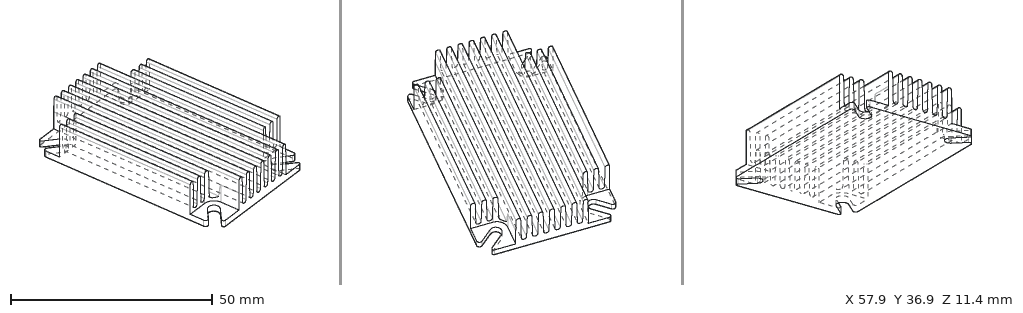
import cadquery as cq

length = 57.9
width = 36.85
height = 11.4

groove_count = 12
edge_to_first_groove = 2.1
groove_floor = 2.8
groove_bottom_width = 1.4
groove_top_width = 1.75
fin_tip_rise = 0.6

notch_length = 8.5
notch_width = 8.8
notch_radius = 2.9
foot_thickness = 1.85

slot_width = 3.2
slot_center_x = 5.25
slot_center_y = 5.45
slot_angle = 49.0
side_tip_radius = 0.5
long_tip_radius = 0.75

first_groove_y = edge_to_first_groove - width / 2
groove_pitch = (width - 2 * edge_to_first_groove) / (groove_count - 1)
groove_bottom_radius = groove_bottom_width / 2
outer_fin_thickness = edge_to_first_groove - groove_top_width / 2
shoulder_height = height - fin_tip_rise


def fin_profile():
    """Fin cross-section in the YZ plane: tapered fins with round tips and round groove floors."""
    groove_arc_z = groove_floor + groove_bottom_radius
    profile = cq.Workplane("YZ", origin=(-length / 2, 0, 0)).moveTo(-width / 2, 0)
    profile = profile.lineTo(-width / 2, shoulder_height)
    tip_y = (-width + outer_fin_thickness) / 2
    for index in range(groove_count):
        groove_y = first_groove_y + index * groove_pitch
        profile = (
            profile.threePointArc((tip_y, height), (groove_y - groove_top_width / 2, shoulder_height))
            .lineTo(groove_y - groove_bottom_radius, groove_arc_z)
            .threePointArc((groove_y, groove_floor), (groove_y + groove_bottom_radius, groove_arc_z))
            .lineTo(groove_y + groove_top_width / 2, shoulder_height)
        )
        tip_y = groove_y + groove_pitch / 2
    last_tip_y = (width - outer_fin_thickness) / 2
    profile = profile.threePointArc((last_tip_y, height), (width / 2, shoulder_height))
    return profile.lineTo(width / 2, 0).close()


def corner_block(size_x, size_y, bottom, top):
    """Block filling the -X, -Y corner of the part between two heights."""
    return (
        cq.Workplane("XY", origin=(-length / 2, -width / 2, bottom))
        .rect(size_x, size_y, centered=False)
        .extrude(top - bottom)
    )


def notch():
    """Space above the foot, with the inner vertical corner rounded."""
    block = corner_block(notch_length, notch_width, foot_thickness, height)
    return block.edges("|Z and >X and >Y").fillet(notch_radius)


def foot():
    """Mounting foot with a diagonal open slot and rounded tips."""
    block = corner_block(notch_length, notch_width, 0, foot_thickness)
    slot_reach = notch_length + notch_width
    slot = (
        cq.Workplane("XY")
        .circle(slot_width / 2)
        .extrude(foot_thickness)
        .union(
            cq.Workplane("XY")
            .center(-slot_reach / 2, 0)
            .rect(slot_reach, slot_width)
            .extrude(foot_thickness)
        )
        .rotate((0, 0, 0), (0, 0, 1), slot_angle)
        .translate((slot_center_x - length / 2, slot_center_y - width / 2, 0))
    )
    block = block.cut(slot)
    block = block.faces("<X").edges("|Z and <Y").fillet(side_tip_radius)
    return block.faces("<Y").edges("|Z and <X").fillet(long_tip_radius)


def corner_cutter():
    """Everything removed at the -X, -Y corner."""
    return corner_block(notch_length, notch_width, 0, foot_thickness).cut(foot()).union(notch())


left_front = corner_cutter()
right_front = left_front.mirror("YZ")
result = fin_profile().extrude(length)
for cutter in (left_front, right_front):
    result = result.cut(cutter).cut(cutter.mirror("XZ"))